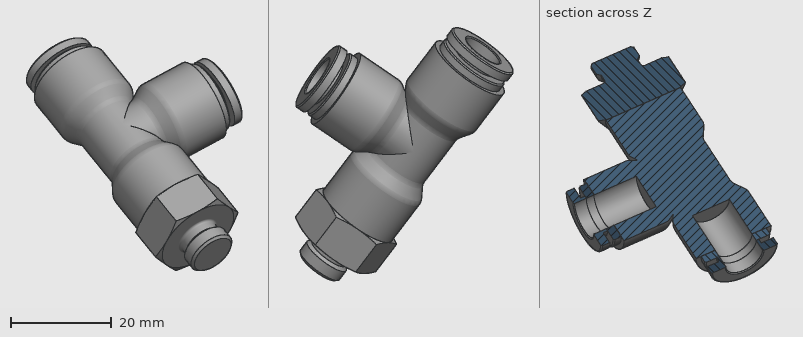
import cadquery as cq
import math

OVERALL_LENGTH = 55.9
ARM_LENGTH = 19.0
ARM_DIAMETER = 16.9
WAIST_DIAMETER = 13.0
WAIST_END = 6.0
SHOULDER_START = 9.05
FLARE_BLEND_RADIUS = 1.95
PORT_ANGLES = (90.0, 180.0)
STUD_ANGLE = 0.0

PORT_REACH = 23.6
TUBE_BORE_DIAMETER = 8.2
BORE_RIM_CHAMFER = 0.2
SOCKET_DEPTH = 9.5

COLLAR_DIAMETER = 14.7
COLLAR_LENGTH = 1.75
COLLAR_CHAMFER = 0.3

FLANGE_WIDTH = 15.0
FLANGE_HEIGHT = 13.0
FLANGE_THICKNESS = 1.95
FLANGE_CHAMFER = 0.3
NECK_DIAMETER = 9.6
NECK_START = ARM_LENGTH + COLLAR_LENGTH
FLANGE_START = PORT_REACH - FLANGE_THICKNESS

HEX_ACROSS_FLATS = 17.0
HEX_ACROSS_CORNERS = HEX_ACROSS_FLATS * 2 / math.sqrt(3)
HEX_LENGTH = 8.0
HEX_CHAMFER_DEPTH = 0.45
HEX_END = ARM_LENGTH + HEX_LENGTH
STUD_END = OVERALL_LENGTH - PORT_REACH
UNDERCUT_DIAMETER = 8.2
UNDERCUT_FILLET = 0.5
THREAD_DIAMETER = 9.7
THREAD_LENGTH = 3.4
THREAD_TIP_CHAMFER = 0.5
THREAD_START_CHAMFER = 0.6


def rod(diameter, start, end):
    """Round bar on the X axis between two axial places."""
    return cq.Workplane("YZ").workplane(offset=start).circle(diameter / 2).extrude(end - start)


def revolved(profile):
    """Solid of revolution about X from (axial place, radius) points."""
    return cq.Workplane("XY").polyline(profile).close().revolve(360, (0, 0, 0), (1, 0, 0))


def turned(body, angle):
    """Turn a body built along +X to its direction about Z."""
    return body.rotate((0, 0, 0), (0, 0, 1), angle)


def edges_at(body, place):
    """Edges lying in the plane across the X axis at an axial place."""
    half_band = 0.05
    reach = ARM_DIAMETER
    return body.edges(cq.selectors.BoxSelector(
        (place - half_band, -reach, -reach), (place + half_band, reach, reach), boundingbox=True))


def body_arm():
    """Waist that flares out to the full arm diameter, with blended flare ends."""
    arm = revolved([
        (0, 0),
        (0, WAIST_DIAMETER / 2),
        (WAIST_END, WAIST_DIAMETER / 2),
        (SHOULDER_START, ARM_DIAMETER / 2),
        (ARM_LENGTH, ARM_DIAMETER / 2),
        (ARM_LENGTH, 0),
    ])
    arm = edges_at(arm, WAIST_END).fillet(FLARE_BLEND_RADIUS)
    return edges_at(arm, SHOULDER_START).fillet(FLARE_BLEND_RADIUS)


def tee_body():
    """Three equal arms with a blind tube socket in each port arm."""
    body = turned(body_arm(), STUD_ANGLE)
    for angle in PORT_ANGLES:
        body = body.union(turned(body_arm(), angle))
    socket = rod(TUBE_BORE_DIAMETER, ARM_LENGTH - SOCKET_DEPTH, ARM_LENGTH)
    for angle in PORT_ANGLES:
        body = body.cut(turned(socket, angle))
    return body.clean()


def collar():
    """Plain ring on the arm end with a chamfered outer rim."""
    ring = rod(COLLAR_DIAMETER, ARM_LENGTH, NECK_START).faces(">X").edges().chamfer(COLLAR_CHAMFER)
    return ring.cut(rod(TUBE_BORE_DIAMETER, ARM_LENGTH, NECK_START))


def release_ring():
    """Elliptical push flange on a round neck, bored for the tube."""
    flange = (
        cq.Workplane("YZ").workplane(offset=FLANGE_START)
        .ellipse(FLANGE_WIDTH / 2, FLANGE_HEIGHT / 2).extrude(FLANGE_THICKNESS)
        .faces(">X").edges().chamfer(FLANGE_CHAMFER)
    )
    neck = rod(NECK_DIAMETER, NECK_START, FLANGE_START)
    ring = flange.union(neck).cut(rod(TUBE_BORE_DIAMETER, NECK_START, PORT_REACH))
    return ring.faces(">X").edges("%CIRCLE").chamfer(BORE_RIM_CHAMFER)


def stud_hexagon():
    """Hexagon with corners along Y and both ends chamfered by a cone."""
    hexagon = (
        cq.Workplane("YZ").workplane(offset=ARM_LENGTH)
        .polygon(6, HEX_ACROSS_CORNERS).extrude(HEX_LENGTH)
    )
    rounding = revolved([
        (ARM_LENGTH, 0),
        (ARM_LENGTH, HEX_ACROSS_FLATS / 2),
        (ARM_LENGTH + HEX_CHAMFER_DEPTH, HEX_ACROSS_CORNERS / 2),
        (HEX_END - HEX_CHAMFER_DEPTH, HEX_ACROSS_CORNERS / 2),
        (HEX_END, HEX_ACROSS_FLATS / 2),
        (HEX_END, 0),
    ])
    return hexagon.intersect(rounding)


def stud_spigot():
    """Undercut, filleted out to the hexagon face, and the chamfered threaded end."""
    undercut_radius = UNDERCUT_DIAMETER / 2
    thread_radius = THREAD_DIAMETER / 2
    thread_start = STUD_END - THREAD_LENGTH
    fillet_drop = UNDERCUT_FILLET * (1 - math.sqrt(0.5))
    return (
        cq.Workplane("XY")
        .moveTo(HEX_END, 0)
        .lineTo(HEX_END, undercut_radius + UNDERCUT_FILLET)
        .threePointArc(
            (HEX_END + fillet_drop, undercut_radius + fillet_drop),
            (HEX_END + UNDERCUT_FILLET, undercut_radius))
        .lineTo(thread_start, undercut_radius)
        .lineTo(thread_start + THREAD_START_CHAMFER, thread_radius)
        .lineTo(STUD_END - THREAD_TIP_CHAMFER, thread_radius)
        .lineTo(STUD_END, thread_radius - THREAD_TIP_CHAMFER)
        .lineTo(STUD_END, 0)
        .close()
        .revolve(360, (0, 0, 0), (1, 0, 0))
    )


def male_stud():
    """Hexagon and threaded spigot as one solid, butted against the stud arm."""
    return turned(stud_hexagon().union(stud_spigot()), STUD_ANGLE)


body = tee_body()
stud = male_stud()
collars = [turned(collar(), angle) for angle in PORT_ANGLES]
release_rings = [turned(release_ring(), angle) for angle in PORT_ANGLES]

result = cq.Compound.makeCompound([
    body.val(),
    stud.val(),
    *[ring.val() for ring in collars],
    *[ring.val() for ring in release_rings],
])